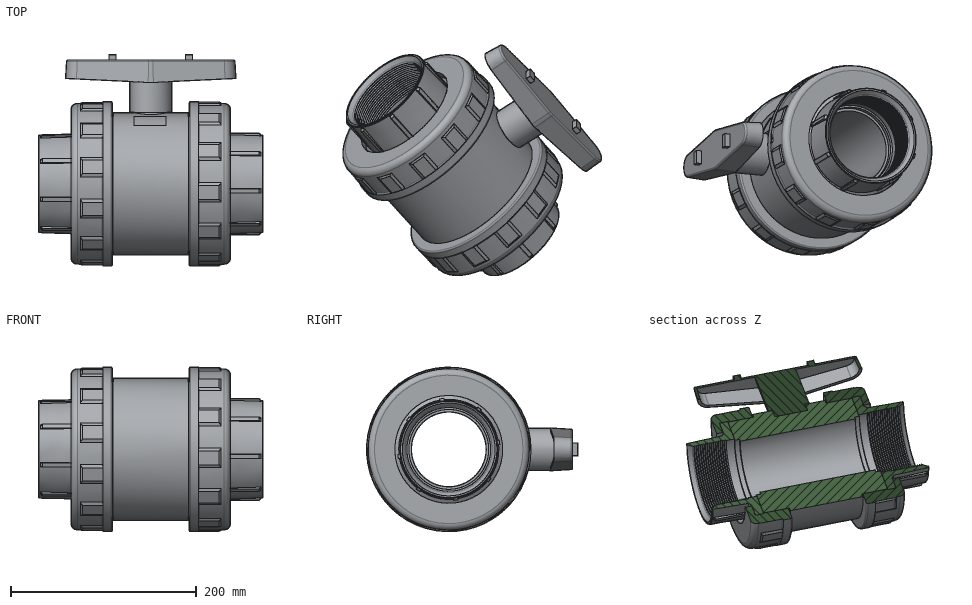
import cadquery as cq
import math


valve_half_length = 121.0
bore_radius = 40.2

housing_radius = 153.5 / 2
housing_half_length = 40.6
spigot_radius = 145.5 / 2
spigot_end = 69.7
seat_radius = 86.0 / 2
seat_depth = 5.3
label_width = 34.3
label_center_x = -0.7
label_low_y = 63.0
label_high_y = 72.5
label_depth = 0.7

nut_radius = 173.5 / 2
nut_flange_radius = 177.3 / 2
nut_inner_face = 41.4
nut_flange_outer_face = 51.5
nut_outer_face = 85.9
nut_lip_thickness = 7.7
nut_lip_inner_face = nut_outer_face - nut_lip_thickness
nut_mouth_radius = 116.0 / 2
nut_rim_fillet = 6.8
nut_flange_fillet = 1.7
nut_root_fillet = 1.0
selection_margin = 0.2

pad_count = 12
pad_height = 1.2
pad_root_depth = 2.0
pad_base_width = 21.3
pad_top_width = 15.0
pad_end = 75.5
pad_end_bevel = 2.0
left_pad_angle = 12.0
right_pad_angle = -6.0

connector_end_radius = 105.2 / 2
connector_root_radius = 54.0
connector_root = 81.0
connector_edge_chamfer = 0.7
mouth_radius = 100.1 / 2
mouth_depth = 4.8
thread_minor_radius = 90.2 / 2
thread_depth = 1.5
thread_pitch = 2.5
thread_turns = 16

rib_count = 8
rib_width = 4.5
rib_outer_radius = 55.2
rib_root_depth = 1.5
rib_end = 119.0
rib_end_slope = 2.2
left_rib_angle = 27.0
right_rib_angle = -8.0

hub_radius = 45.7 / 2
hub_bottom = 77.0
stem_radius = 18.0
stem_length = 9.7
grip_half_length = 92.2
grip_middle_radius = 23.2
grip_end_radius = 14.0
grip_bottom = 109.0
grip_end_bottom = 113.5
grip_top = 133.5
grip_draft = 3.5
grip_wall = 3.1
grip_top_fillet = 2.0
peg_offset = 41.1
peg_length = 7.7
peg_width = 14.0
handle_top = 139.0


def tube_section(start, end, radius):
    """Solid cylinder on the X axis between two X positions."""
    return cq.Workplane("YZ", origin=(start, 0, 0)).circle(radius).extrude(end - start)


def handle_cylinder(start, end, radius):
    """Solid cylinder on the Y axis between two Y positions."""
    return cq.Workplane("XZ", origin=(0, start, 0)).circle(radius).extrude(start - end)


def turned(profile):
    """Solid of revolution about X from (x, radius) points."""
    return cq.Workplane("XY").polyline(profile).close().revolve(360, (0, 0, 0), (1, 0, 0))


def around_x(shape, count, first_angle):
    """Equally spaced copies about X; a copy at angle 0 points to -Y, at 90 to +Z."""
    copies = []
    for index in range(count):
        angle = first_angle + index * 360 / count
        copies.append(shape.rotate((0, 0, 0), (1, 0, 0), -angle))
    return copies


def on_left(shape):
    """Mirrors a part of the +X end to the -X end."""
    return shape.mirror("YZ")


def label_recess():
    """Shallow rectangular field that follows the housing surface below the hub."""
    field = (
        cq.Workplane("XY")
        .box(label_width, label_high_y - label_low_y, housing_radius, centered=(True, False, False))
        .translate((label_center_x, label_low_y, 0))
    )
    core = tube_section(-label_width, label_width, housing_radius - label_depth)
    return field.cut(core)


def make_housing():
    body = tube_section(-housing_half_length, housing_half_length, housing_radius)
    body = body.union(tube_section(-spigot_end, spigot_end, spigot_radius))
    body = body.cut(tube_section(-spigot_end, spigot_end, bore_radius))
    seat_start = spigot_end - seat_depth
    body = body.cut(tube_section(seat_start, spigot_end, seat_radius))
    body = body.cut(tube_section(-spigot_end, -seat_start, seat_radius))
    stem_hole = handle_cylinder(hub_bottom - stem_length, hub_bottom, stem_radius)
    return body.cut(stem_hole).cut(label_recess())


def make_pad():
    """Grip pad pointing to -Y on the +X nut, with sloped sides and a sloped outer end."""
    root = nut_radius - pad_root_depth
    foot = math.sqrt(nut_radius**2 - (pad_base_width / 2) ** 2)
    top = nut_radius + pad_height
    section = [
        (-root, -pad_base_width / 2),
        (-foot, -pad_base_width / 2),
        (-top, -pad_top_width / 2),
        (-top, pad_top_width / 2),
        (-foot, pad_base_width / 2),
        (-root, pad_base_width / 2),
    ]
    start = nut_flange_outer_face - nut_flange_fillet
    pad = (
        cq.Workplane("YZ", origin=(start, 0, 0)).polyline(section).close().extrude(pad_end - start)
    )
    end_bevel = (
        cq.Workplane("XY")
        .polyline([(pad_end, -nut_radius), (pad_end, -top), (pad_end - pad_end_bevel, -top)])
        .close()
        .extrude(pad_base_width / 2, both=True)
    )
    return pad.cut(end_bevel)


def make_nut(first_pad_angle):
    """Union nut of the +X end."""
    nut = tube_section(nut_inner_face, nut_flange_outer_face, nut_flange_radius)
    nut = nut.faces("<X").edges().fillet(nut_flange_fillet)
    cap = tube_section(nut_inner_face, nut_outer_face, nut_radius)
    nut = nut.union(cap.faces(">X").edges().fillet(nut_rim_fillet))
    root_reach = nut_radius + selection_margin
    root_zone = cq.selectors.BoxSelector(
        (nut_flange_outer_face - selection_margin, -root_reach, -root_reach),
        (nut_flange_outer_face + selection_margin, root_reach, root_reach),
        boundingbox=True,
    )
    nut = nut.edges(root_zone).fillet(nut_root_fillet)
    for pad in around_x(make_pad(), pad_count, first_pad_angle):
        nut = nut.union(pad)
    nut = nut.cut(tube_section(nut_inner_face, nut_lip_inner_face, spigot_radius))
    return nut.cut(tube_section(nut_lip_inner_face, nut_outer_face, nut_mouth_radius))


def make_rib():
    """Connector rib pointing to -Y, with a sloped outer end."""
    root = connector_end_radius - rib_root_depth
    outline = [
        (nut_lip_inner_face, -root),
        (rib_end, -root),
        (rib_end, -connector_end_radius),
        (rib_end - rib_end_slope, -rib_outer_radius),
        (nut_lip_inner_face, -rib_outer_radius),
    ]
    return cq.Workplane("XY").polyline(outline).close().extrude(rib_width / 2, both=True)


def make_connector(first_rib_angle):
    """Threaded end connector of the +X end; its flange is held behind the nut lip."""
    mouth_end = valve_half_length - mouth_depth
    thread_major_radius = thread_minor_radius + thread_depth
    outline = [
        (spigot_end, thread_minor_radius),
        (spigot_end, spigot_radius),
        (nut_lip_inner_face, spigot_radius),
        (nut_lip_inner_face, nut_mouth_radius),
        (connector_root, connector_root_radius),
        (valve_half_length - connector_edge_chamfer, connector_end_radius),
        (valve_half_length, connector_end_radius - connector_edge_chamfer),
        (valve_half_length, mouth_radius),
        (mouth_end, thread_major_radius),
    ]
    for turn in range(thread_turns):
        crest = mouth_end - (turn + 0.5) * thread_pitch
        outline.append((crest, thread_minor_radius))
        if turn < thread_turns - 1:
            outline.append((crest - thread_pitch / 2, thread_major_radius))
    connector = turned(outline)
    for rib in around_x(make_rib(), rib_count, first_rib_angle):
        connector = connector.union(rib)
    return connector


def grip_outline(inset):
    """Grip outline normal to Y: a round middle that narrows to two round ends."""
    middle = grip_middle_radius - inset
    end = grip_end_radius - inset
    end_center = grip_half_length - grip_end_radius
    lean = math.asin((middle - end) / end_center)
    across = math.cos(lean)
    along = math.sin(lean)
    end_x = end_center + end * along
    return (
        cq.Workplane(cq.Plane((0, grip_bottom, 0), (1, 0, 0), (0, 1, 0)))
        .moveTo(-end_x, end * across)
        .lineTo(-middle * along, middle * across)
        .threePointArc((0, middle), (middle * along, middle * across))
        .lineTo(end_x, end * across)
        .threePointArc((end_center + end, 0), (end_x, -end * across))
        .lineTo(middle * along, -middle * across)
        .threePointArc((0, -middle), (-middle * along, -middle * across))
        .lineTo(-end_x, -end * across)
        .threePointArc((-end_center - end, 0), (-end_x, end * across))
        .close()
    )


def below_rim():
    """Space under the grip rim, which rises from the middle to both ends."""
    return (
        cq.Workplane("XY")
        .moveTo(0, grip_bottom)
        .lineTo(grip_half_length, grip_end_bottom)
        .lineTo(grip_half_length, hub_bottom)
        .lineTo(-grip_half_length, hub_bottom)
        .lineTo(-grip_half_length, grip_end_bottom)
        .close()
        .extrude(grip_middle_radius, both=True)
    )


def make_handle():
    grip = grip_outline(0).extrude(grip_top - grip_bottom, taper=grip_draft)
    grip = grip.faces(">Y").edges().fillet(grip_top_fillet)
    hollow = grip_outline(grip_wall).extrude(grip_top - grip_wall - grip_bottom, taper=grip_draft)
    hollow = hollow.cut(handle_cylinder(hub_bottom, grip_top, hub_radius))
    handle = grip.cut(hollow).cut(below_rim())
    handle = handle.union(handle_cylinder(hub_bottom, grip_end_bottom, hub_radius))
    handle = handle.union(handle_cylinder(hub_bottom - stem_length, hub_bottom, stem_radius))
    for side in (-1, 1):
        peg = (
            cq.Workplane("XY")
            .box(peg_length, handle_top - grip_top, peg_width, centered=(True, False, True))
            .translate((side * peg_offset, grip_top, 0))
        )
        handle = handle.union(peg)
    return handle


housing = make_housing()
right_nut = make_nut(right_pad_angle)
left_nut = on_left(make_nut(left_pad_angle))
right_connector = make_connector(right_rib_angle)
left_connector = on_left(make_connector(left_rib_angle))
handle = make_handle()

result = cq.Compound.makeCompound(
    [
        housing.val(),
        left_nut.val(),
        right_nut.val(),
        left_connector.val(),
        right_connector.val(),
        handle.val(),
    ]
)